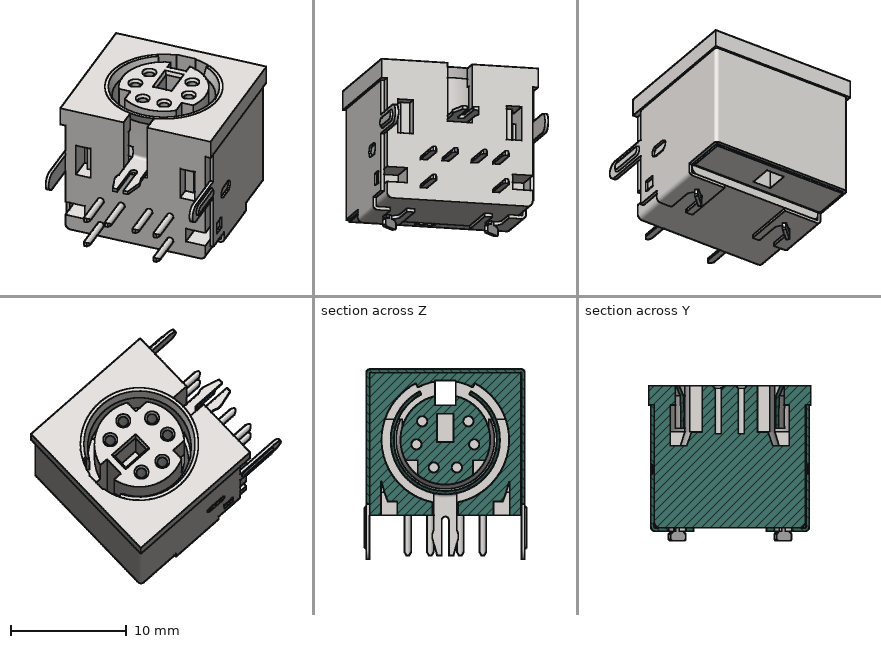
import cadquery as cq
import math


HOUSING_HEIGHT = 12.28
HOUSING_DEPTH = 12.8
CAP_WIDTH = 14.01
CAP_THICKNESS = 1.68
BODY_WIDTH = 13.05
BODY_DEPTH = 12.33
BOTTOM_EDGE_RADIUS = 0.5
CAP_BOTTOM = HOUSING_HEIGHT - CAP_THICKNESS

REAR_RELIEF_START = 8.47
REAR_RELIEF_HEIGHT = 0.83
REAR_PAD_START = 8.83
REAR_PAD_BOTTOM = 0.61

SOCKET_Y = 6.52
MOUTH_RADIUS = 5.1
CHAMBER_RADIUS = 5.5
PLUG_RADIUS = 3.88
PLUG_FOOT_RADIUS = 4.25
SOCKET_FLOOR = 7.1
SHELF_HEIGHT = 8.3
SHELF_WIDTH = 7.47
SHELF_SIDE_START = 7.64
SHELF_EAR_START = 8.3
FRONT_SLOT_WIDTH = 2.19

KEYWAY_WIDTH = 1.76
KEYWAY_START = 9.51
KEYWAY_END = SOCKET_Y + MOUTH_RADIUS
PLUG_NOTCH_X = 2.39
PLUG_NOTCH_Y = 4.75

CONTACT_PLACES = [(2.0, 1.6), (2.49, -0.4), (1.0, -2.39)]
CONTACT_HOLE_DEPTH = 4.15
CONTACT_HOLE_RADIUS = 0.43
CONTACT_MOUTH_RADIUS = 0.61
CONTACT_COUNTERSINK_DEPTH = 0.25
CENTRE_HOLE_START = 6.16
CENTRE_HOLE_END = 8.95
CENTRE_HOLE_CHAMFER_INSET = 0.18
CENTRE_HOLE_CHAMFER_DEPTH = 0.32

WINDOW_INNER_X = 4.17
WINDOW_STEP_X = 4.96
WINDOW_BEVEL_X = 5.26
WINDOW_OUTER_X = 5.55
WINDOW_BOTTOM = 5.81
WINDOW_LEDGE = 7.7
WINDOW_TOP = 8.8
WINDOW_DEPTH = 1.18
WINDOW_LEDGE_DEPTH = 2.0
WINDOW_FULL_DEPTH = 2.99
CORNER_POCKET_X = 4.71
CORNER_POCKET_BOTTOM = 1.43
CORNER_POCKET_TOP = 2.75
CORNER_POCKET_DEPTH = 2.99

SHEET = 0.3
SHIELD_CLEARANCE = 0.05
SHIELD_X = SHIELD_CLEARANCE / 2
SHIELD_WIDTH = BODY_WIDTH + SHIELD_CLEARANCE + 2 * SHEET
SHIELD_FRONT = 0.98
SHIELD_BACK = BODY_DEPTH + SHEET
SHIELD_BOTTOM = 0.81
SHIELD_BEND_RADIUS = 0.33
GROUND_TAB_LENGTH = 3.8
GROUND_TAB_WIDTH = 1.68
GROUND_TAB_Z = 6.72
BEAD_START = -2.92
BEAD_END = 0.8
BEAD_WIDTH = 1.01
BEAD_HEIGHT = 0.17
BEAD_INSET = 0.17
DIMPLE_DEPTH = 0.15
DIMPLE_INSET = 0.1
LONG_DIMPLE_Y = 3.8
LONG_DIMPLE_Z = 5.06
LONG_DIMPLE_LENGTH = 2.05
LONG_DIMPLE_WIDTH = 1.01
SQUARE_DIMPLE_Y = 2.32
SQUARE_DIMPLE_Z = 2.22
SQUARE_DIMPLE_SIZE = 1.06
FOOT_START = 3.49
FOOT_END = 8.47
FOOT_INNER_X = 3.14
FOOT_BEND_RADIUS = 0.42
LUG_X = 4.56
LUG_Y = 6.5
LUG_SLOT_WIDTH = 1.5
LUG_ANGLE = 45.0
LUG_BOTTOM = -1.11
LUG_HALF_WIDTH = 0.91
LUG_NECK_HALF_WIDTH = 0.3
LUG_SHOULDER_HALF_WIDTH = 0.61
LUG_SHOULDER_DROP = 0.23
LUG_TIP_CHAMFER = 0.13

RING_LIP_DEPTH = 0.88
RING_THROAT_RADIUS = 4.76
RING_FOOT_RADIUS = 4.71
RING_BOTTOM = 8.6
RING_GAP_ANGLE = 55.4
TONGUE_BOTTOM = 7.4
TONGUE_TOP = TONGUE_BOTTOM + SHEET
TONGUE_BEND_RADIUS = 0.27
TONGUE_HALF_WIDTH = 1.0
TONGUE_BARB_HALF_WIDTH = 1.13
TONGUE_TIP_HALF_WIDTH = 0.71
TONGUE_SLOT_WIDTH = 0.6
TONGUE_SLOT_END = -0.12
BARB_START = -1.26
BARB_FULL = -1.63
BARB_END = -1.96

EDGE_TOLERANCE = 0.02

PIN_TIP = -3.47
PIN_INSERTION = 2.0
PIN_HALF_WIDTH = 0.3
PIN_HEIGHT = 0.4
PIN_SIDE_HEIGHT = 0.13
PIN_RIDGE_HALF_WIDTH = 0.03
PIN_SHOULDER = (0.2, 0.32)
PIN_TIP_HALF_WIDTH = 0.12
PIN_TIP_LENGTH = 0.3
UPPER_PIN_Z = 3.57
LOWER_PIN_Z = 1.08
PIN_PLACES = [
    (-3.24, UPPER_PIN_Z),
    (-1.3, UPPER_PIN_Z),
    (1.3, UPPER_PIN_Z),
    (3.24, UPPER_PIN_Z),
    (-3.24, LOWER_PIN_Z),
    (3.24, LOWER_PIN_Z),
]


def block(x0, x1, y0, y1, z0, z1):
    """Box between two opposite corners."""
    return cq.Workplane("XY").box(x1 - x0, y1 - y0, z1 - z0, centered=False).translate((x0, y0, z0))


def mirrored(shape):
    """The shape together with its mirror image across the middle plane X = 0."""
    return shape.union(shape.mirror("YZ"))


def socket_disc(radius, z0, z1):
    """Cylinder on the socket axis."""
    return cq.Workplane("XY", origin=(0, SOCKET_Y, z0)).circle(radius).extrude(z1 - z0)


def socket_revolve(profile):
    """Ring revolved about the socket axis from (radius, z) points."""
    ring = cq.Workplane("XZ").polyline(profile).close().revolve(360, (0, 0, 0), (0, 1, 0))
    return ring.translate((0, SOCKET_Y, 0))


def ring_gap():
    """Sector behind the plug where the ring is left open."""
    reach = 2 * CHAMBER_RADIUS
    half_width = reach * math.tan(math.radians(RING_GAP_ANGLE / 2))
    sector = cq.Workplane("XY", origin=(0, SOCKET_Y, 0))
    triangle = [(0, 0), (half_width, reach), (-half_width, reach)]
    return sector.polyline(triangle).close().extrude(HOUSING_HEIGHT)


def housing_envelope():
    half_body = BODY_WIDTH / 2
    body = block(-half_body, half_body, 0, BODY_DEPTH, 0, CAP_BOTTOM)
    body = body.edges("|Y and <Z").fillet(BOTTOM_EDGE_RADIUS)
    relief = block(-half_body, half_body, REAR_RELIEF_START, BODY_DEPTH, 0, REAR_RELIEF_HEIGHT)
    pad = block(-half_body, half_body, REAR_PAD_START, BODY_DEPTH, REAR_PAD_BOTTOM, REAR_RELIEF_HEIGHT)
    cap = block(-CAP_WIDTH / 2, CAP_WIDTH / 2, 0, HOUSING_DEPTH, CAP_BOTTOM, HOUSING_HEIGHT)
    return body.cut(relief).union(pad).union(cap)


def shelf():
    """Raised floor behind the plug, with an ear at each side."""
    bore = socket_disc(CHAMBER_RADIUS, SOCKET_FLOOR, SHELF_HEIGHT)
    half = SHELF_WIDTH / 2
    middle = block(-half, half, SHELF_SIDE_START, HOUSING_DEPTH, SOCKET_FLOOR, SHELF_HEIGHT)
    reach = CHAMBER_RADIUS
    ears = block(-reach, reach, SHELF_EAR_START, HOUSING_DEPTH, SOCKET_FLOOR, SHELF_HEIGHT)
    return bore.intersect(middle.union(ears))


def plug():
    """Centre insulator: a notched cylinder on a foot that flares towards the socket floor."""
    cylinder = socket_disc(PLUG_RADIUS, SHELF_HEIGHT, HOUSING_HEIGHT)
    notch = block(
        PLUG_NOTCH_X, CHAMBER_RADIUS, SOCKET_Y - CHAMBER_RADIUS, PLUG_NOTCH_Y, SHELF_HEIGHT, HOUSING_HEIGHT
    )
    foot_profile = [
        (0, SOCKET_FLOOR),
        (PLUG_FOOT_RADIUS, SOCKET_FLOOR),
        (PLUG_RADIUS, SHELF_HEIGHT),
        (0, SHELF_HEIGHT),
    ]
    return cylinder.cut(mirrored(notch)).union(socket_revolve(foot_profile))


def socket_bore():
    """Annular bore around the plug, widened below the cap except behind the ring opening."""
    mouth = socket_disc(MOUTH_RADIUS, SOCKET_FLOOR, HOUSING_HEIGHT)
    chamber = socket_disc(CHAMBER_RADIUS, SOCKET_FLOOR, CAP_BOTTOM).cut(ring_gap())
    return mouth.union(chamber).cut(plug()).cut(shelf())


def front_slot():
    half = FRONT_SLOT_WIDTH / 2
    slot = block(-half, half, 0, SOCKET_Y, SOCKET_FLOOR, HOUSING_HEIGHT)
    return slot.cut(socket_disc(MOUTH_RADIUS, SOCKET_FLOOR, HOUSING_HEIGHT))


def keyway():
    half = KEYWAY_WIDTH / 2
    return block(-half, half, KEYWAY_START, KEYWAY_END, 0, HOUSING_HEIGHT)


def contact_holes():
    places = [(side * x, SOCKET_Y + y) for x, y in CONTACT_PLACES for side in (-1, 1)]
    top = cq.Workplane("XY").workplane(offset=HOUSING_HEIGHT)
    holes = top.pushPoints(places).circle(CONTACT_HOLE_RADIUS).extrude(-CONTACT_HOLE_DEPTH)
    slope = math.degrees(
        math.atan2(CONTACT_MOUTH_RADIUS - CONTACT_HOLE_RADIUS, CONTACT_COUNTERSINK_DEPTH)
    )
    mouths = top.pushPoints(places).circle(CONTACT_MOUTH_RADIUS)
    return holes.union(mouths.extrude(-CONTACT_COUNTERSINK_DEPTH, taper=slope))


def centre_hole():
    inset = CENTRE_HOLE_CHAMFER_INSET
    length = CENTRE_HOLE_END - CENTRE_HOLE_START
    middle = (0, (CENTRE_HOLE_START + CENTRE_HOLE_END) / 2, HOUSING_HEIGHT)
    top = cq.Workplane("XY", origin=middle)
    slope = math.degrees(math.atan2(inset, CENTRE_HOLE_CHAMFER_DEPTH))
    mouth = top.rect(KEYWAY_WIDTH, length).extrude(-CENTRE_HOLE_CHAMFER_DEPTH, taper=slope)
    hole = top.rect(KEYWAY_WIDTH - 2 * inset, length - 2 * inset).extrude(-CONTACT_HOLE_DEPTH)
    return mouth.union(hole)


def window(outer_depth, z0, z1):
    """Stepped pocket in the mounting face, deepest along its outer side."""
    plan = [
        (WINDOW_INNER_X, 0),
        (WINDOW_INNER_X, WINDOW_DEPTH),
        (WINDOW_STEP_X, WINDOW_DEPTH),
        (WINDOW_BEVEL_X, WINDOW_LEDGE_DEPTH),
        (WINDOW_OUTER_X, outer_depth),
        (WINDOW_OUTER_X, 0),
    ]
    return cq.Workplane("XY", origin=(0, 0, z0)).polyline(plan).close().extrude(z1 - z0)


def mounting_face_pockets():
    upper_window = window(WINDOW_FULL_DEPTH, WINDOW_LEDGE, WINDOW_TOP)
    lower_window = window(WINDOW_LEDGE_DEPTH, WINDOW_BOTTOM, WINDOW_LEDGE)
    corner = block(
        CORNER_POCKET_X, BODY_WIDTH / 2, 0, CORNER_POCKET_DEPTH, CORNER_POCKET_BOTTOM, CORNER_POCKET_TOP
    )
    return mirrored(upper_window.union(lower_window).union(corner))


def make_housing(pins):
    housing = housing_envelope().cut(socket_bore()).cut(front_slot()).cut(keyway())
    housing = housing.cut(contact_holes()).cut(centre_hole()).cut(mounting_face_pockets())
    for pin in pins:
        housing = housing.cut(pin)
    return housing


def shield_wrap():
    """Two side plates joined by a back plate."""
    half = SHIELD_WIDTH / 2
    outer = block(-half, half, SHIELD_FRONT, SHIELD_BACK, SHIELD_BOTTOM, CAP_BOTTOM)
    outer = outer.edges("|Z and >Y").fillet(SHIELD_BEND_RADIUS)
    return outer.cut(block(-half + SHEET, half - SHEET, 0, BODY_DEPTH, 0, CAP_BOTTOM))


def ground_tab():
    """Round-ended tab running forward from the right side plate."""
    half = GROUND_TAB_WIDTH / 2
    inner_x = SHIELD_WIDTH / 2 - SHEET
    end_y = half - GROUND_TAB_LENGTH
    bar = block(inner_x, inner_x + SHEET, end_y, SHIELD_FRONT, GROUND_TAB_Z - half, GROUND_TAB_Z + half)
    round_end = cq.Workplane("YZ", origin=(inner_x, end_y, GROUND_TAB_Z)).circle(half).extrude(SHEET)
    return bar.union(round_end)


def side_face(y, z):
    """Sketch plane on the outside of the right side plate, local X along Y."""
    return cq.Workplane("YZ", origin=(SHIELD_WIDTH / 2, y, z))


def tapered(sketch, distance, inset):
    return sketch.extrude(distance, taper=math.degrees(math.atan2(inset, abs(distance))))


def bead():
    """Raised stiffening bead on the ground tab."""
    face = side_face((BEAD_START + BEAD_END) / 2, GROUND_TAB_Z)
    return tapered(face.slot2D(BEAD_END - BEAD_START, BEAD_WIDTH), BEAD_HEIGHT, BEAD_INSET)


def dimples():
    """Shallow recesses in the side plate."""
    long_face = side_face(LONG_DIMPLE_Y, LONG_DIMPLE_Z).slot2D(LONG_DIMPLE_LENGTH, LONG_DIMPLE_WIDTH)
    square_face = side_face(SQUARE_DIMPLE_Y, SQUARE_DIMPLE_Z).rect(SQUARE_DIMPLE_SIZE, SQUARE_DIMPLE_SIZE)
    long_dimple = tapered(long_face, -DIMPLE_DEPTH, DIMPLE_INSET)
    return long_dimple.union(tapered(square_face, -DIMPLE_DEPTH, DIMPLE_INSET))


def foot():
    """Bottom flange bent in from the right side plate, with a slot around the lug."""
    outer_x = SHIELD_WIDTH / 2
    angle = block(FOOT_INNER_X, outer_x, FOOT_START, FOOT_END, -SHEET, SHIELD_BOTTOM)
    angle = angle.edges("|Y and >X and <Z").fillet(FOOT_BEND_RADIUS)
    inside = block(FOOT_INNER_X, outer_x - SHEET, FOOT_START, FOOT_END, 0, SHIELD_BOTTOM)
    inside = inside.edges("|Y and >X and <Z").fillet(FOOT_BEND_RADIUS - SHEET)
    slot_radius = LUG_SLOT_WIDTH / 2
    slot_centre = LUG_Y - slot_radius
    slot = block(LUG_X - slot_radius, LUG_X + slot_radius, FOOT_START, slot_centre, -SHEET, 0)
    slot_end = cq.Workplane("XY", origin=(LUG_X, slot_centre, -SHEET)).circle(slot_radius).extrude(SHEET)
    return angle.cut(inside).cut(slot.union(slot_end))


def lug(x):
    """Twisted sheet lug below a foot."""
    shoulder = -SHEET
    right_side = [
        (LUG_NECK_HALF_WIDTH, 0),
        (LUG_NECK_HALF_WIDTH, shoulder),
        (LUG_SHOULDER_HALF_WIDTH, shoulder),
        (LUG_HALF_WIDTH, shoulder - LUG_SHOULDER_DROP),
        (LUG_HALF_WIDTH, LUG_BOTTOM + LUG_TIP_CHAMFER),
        (LUG_HALF_WIDTH - LUG_TIP_CHAMFER, LUG_BOTTOM),
    ]
    left_side = [(-across, z) for across, z in reversed(right_side)]
    plate = cq.Workplane("XZ").polyline(right_side + left_side).close().extrude(SHEET / 2, both=True)
    return plate.rotate((0, 0, 0), (0, 0, 1), LUG_ANGLE).translate((x, LUG_Y, 0))


def make_outer_shield():
    right_side = ground_tab().union(bead()).union(foot())
    shield = shield_wrap().union(mirrored(right_side)).cut(mirrored(dimples()))
    for x in (-LUG_X, LUG_X):
        shield = shield.union(lug(x))
    return shield.translate((SHIELD_X, 0, 0))


def ring_wall():
    """Full sheet ring with a flared lip."""
    throat_z = HOUSING_HEIGHT - RING_LIP_DEPTH
    outside = [
        (MOUTH_RADIUS, HOUSING_HEIGHT),
        (RING_THROAT_RADIUS, throat_z),
        (RING_FOOT_RADIUS, TONGUE_BOTTOM),
    ]
    inside = [(radius - SHEET, z) for radius, z in reversed(outside)]
    return socket_revolve(outside + inside)


def tongue():
    """Slotted, barbed ground tongue running forward from the ring."""
    back = SOCKET_Y - RING_FOOT_RADIUS + SHEET / 2
    right_side = [
        (TONGUE_HALF_WIDTH, back),
        (TONGUE_HALF_WIDTH, BARB_START),
        (TONGUE_BARB_HALF_WIDTH, BARB_FULL),
        (TONGUE_BARB_HALF_WIDTH, BARB_END),
        (TONGUE_TIP_HALF_WIDTH, PIN_TIP),
    ]
    left_side = [(-x, y) for x, y in reversed(right_side)]
    base = cq.Workplane("XY", origin=(0, 0, TONGUE_BOTTOM))
    plate = base.polyline(right_side + left_side).close().extrude(SHEET)
    slot_radius = TONGUE_SLOT_WIDTH / 2
    slot_centre = TONGUE_SLOT_END - slot_radius
    slot = block(-slot_radius, slot_radius, PIN_TIP, slot_centre, TONGUE_BOTTOM, TONGUE_TOP)
    slot_end = base.center(0, slot_centre).circle(slot_radius).extrude(SHEET)
    return plate.cut(slot.union(slot_end))


def make_contact_ring():
    below = socket_disc(CHAMBER_RADIUS, TONGUE_BOTTOM, RING_BOTTOM)
    neck = block(-TONGUE_HALF_WIDTH, TONGUE_HALF_WIDTH, 0, SOCKET_Y, TONGUE_BOTTOM, RING_BOTTOM)
    ring = ring_wall().cut(ring_gap()).cut(below.cut(neck))
    formed = ring.union(tongue())
    bend = cq.selectors.BoxSelector(
        (-TONGUE_HALF_WIDTH, SOCKET_Y - MOUTH_RADIUS, TONGUE_TOP - EDGE_TOLERANCE),
        (TONGUE_HALF_WIDTH, SOCKET_Y - RING_FOOT_RADIUS + SHEET / 2, TONGUE_TOP + EDGE_TOLERANCE),
    )
    return formed.edges(bend).fillet(TONGUE_BEND_RADIUS)


def make_pin(x, z):
    """Pin with a flat underside, rounded shoulders, a narrow top ridge and a tip pointed in plan."""
    shoulder_x, shoulder_z = PIN_SHOULDER
    section = (
        cq.Workplane("XZ", origin=(0, PIN_INSERTION, 0))
        .moveTo(-PIN_HALF_WIDTH, 0)
        .lineTo(PIN_HALF_WIDTH, 0)
        .lineTo(PIN_HALF_WIDTH, PIN_SIDE_HEIGHT)
        .threePointArc((shoulder_x, shoulder_z), (PIN_RIDGE_HALF_WIDTH, PIN_HEIGHT))
        .lineTo(-PIN_RIDGE_HALF_WIDTH, PIN_HEIGHT)
        .threePointArc((-shoulder_x, shoulder_z), (-PIN_HALF_WIDTH, PIN_SIDE_HEIGHT))
        .close()
    )
    rod = section.extrude(PIN_INSERTION - PIN_TIP)
    plan = [
        (PIN_HALF_WIDTH, PIN_INSERTION),
        (PIN_HALF_WIDTH, PIN_TIP + PIN_TIP_LENGTH),
        (PIN_TIP_HALF_WIDTH, PIN_TIP),
        (-PIN_TIP_HALF_WIDTH, PIN_TIP),
        (-PIN_HALF_WIDTH, PIN_TIP + PIN_TIP_LENGTH),
        (-PIN_HALF_WIDTH, PIN_INSERTION),
    ]
    outline = cq.Workplane("XY").polyline(plan).close().extrude(PIN_HEIGHT)
    return rod.intersect(outline).translate((x, 0, z))


pins = [make_pin(x, z) for x, z in PIN_PLACES]
housing = make_housing(pins)
outer_shield = make_outer_shield()
contact_ring = make_contact_ring()

result = cq.Compound.makeCompound(
    [housing.val(), outer_shield.val(), contact_ring.val(), *[pin.val() for pin in pins]]
)